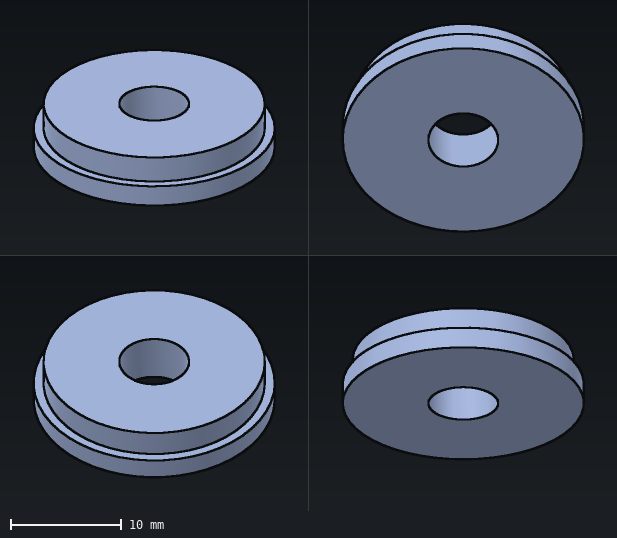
import cadquery as cq

flange_diameter = 21.8
shoulder_diameter = 20.0
bore_diameter = 6.3
total_height = 4.5
flange_height = 2.0
shoulder_height = total_height - flange_height

flange = cq.Workplane("XY").circle(flange_diameter / 2).extrude(flange_height)

stepped_disc = flange.faces(">Z").workplane().circle(shoulder_diameter / 2).extrude(shoulder_height)

result = stepped_disc.faces(">Z").workplane().hole(bore_diameter)